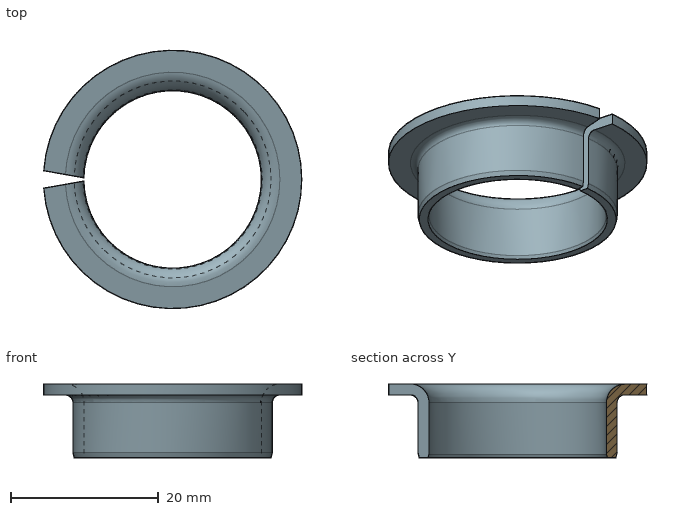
import cadquery as cq
import math

flange_diameter = 34.98
height = 10.0
wall = 1.5
bore_diameter = 24.0
outer_fillet = 1.0
lead_in_height = 0.7
lead_in_depth = 0.17
bore_lead_in_height = 0.5
bore_lead_in_depth = 0.15
slit_half_angle = 10.0
slit_bore_half_width = 0.2

flange_radius = flange_diameter / 2
bore_radius = bore_diameter / 2
barrel_radius = bore_radius + wall
flange_underside = height - wall
mouth_radius = outer_fillet + wall
arc_center_radius = bore_radius + mouth_radius
arc_center_height = height - mouth_radius
diagonal = math.sqrt(0.5)


def bend_midpoint(bend_radius):
    """Point halfway round the quarter bend between barrel and flange."""
    offset = bend_radius * diagonal
    return arc_center_radius - offset, arc_center_height + offset


def make_bushing():
    """Revolve the flanged wall section around Z, with the seam inside the slit."""
    section = (
        cq.Workplane("XZ")
        .moveTo(bore_radius, bore_lead_in_height)
        .lineTo(bore_radius + bore_lead_in_depth, 0)
        .lineTo(barrel_radius - lead_in_depth, 0)
        .lineTo(barrel_radius, lead_in_height)
        .lineTo(barrel_radius, arc_center_height)
        .threePointArc(bend_midpoint(outer_fillet), (arc_center_radius, flange_underside))
        .lineTo(flange_radius, flange_underside)
        .lineTo(flange_radius, height)
        .lineTo(arc_center_radius, height)
        .threePointArc(bend_midpoint(mouth_radius), (bore_radius, arc_center_height))
        .close()
    )
    return section.revolve(360, (0, 0, 0), (0, 1, 0)).rotate((0, 0, 0), (0, 0, 1), 180)


def make_slit():
    """Full-height wedge on the -X side that widens outward."""
    taper = math.tan(math.radians(slit_half_angle))
    apex_x = -bore_radius + slit_bore_half_width / taper
    outer_x = -flange_diameter
    outer_half_width = (apex_x - outer_x) * taper
    return (
        cq.Workplane("XY")
        .moveTo(apex_x, 0)
        .lineTo(outer_x, outer_half_width)
        .lineTo(outer_x, -outer_half_width)
        .close()
        .extrude(height)
    )


result = make_bushing().cut(make_slit())